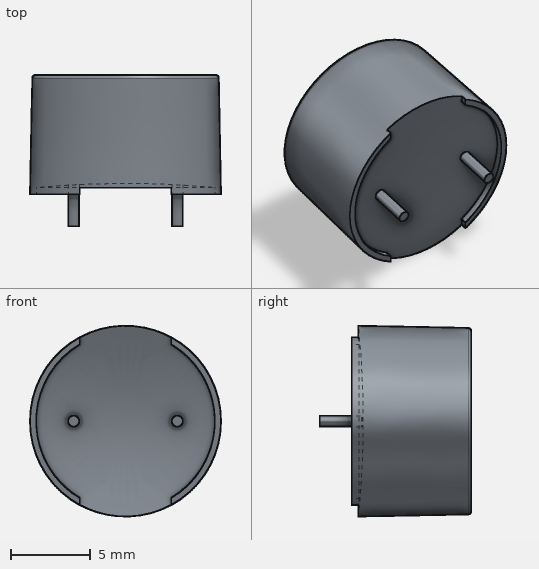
import cadquery as cq
import math

rim_radius = 6.0
back_radius = 5.85
body_length = 7.49
back_fillet = 0.2

recess_radius = 5.6
floor_edge_depth = 0.41
floor_dish = 0.3
floor_center_depth = floor_edge_depth + floor_dish
notch_width = 5.71

pin_radius = 0.35
pin_spacing = 6.5
pin_length = 2.0
pin_embed = 0.12


def make_body():
    """Slightly tapered drum, widest at the rim, with a rounded back edge."""
    profile = (
        cq.Workplane("XY")
        .lineTo(rim_radius, 0)
        .lineTo(back_radius, body_length)
        .lineTo(0, body_length)
        .close()
    )
    body = profile.revolve(360, (0, 0, 0), (0, 1, 0))
    return body.faces(">Y").edges().fillet(back_fillet)


def make_recess():
    """Dished space between the floor and Y = 0, limited to the round recess and the rim gaps."""
    sphere_radius = (rim_radius**2 + floor_dish**2) / (2 * floor_dish)
    mid_radius = rim_radius / 2
    mid_depth = floor_center_depth - sphere_radius + math.sqrt(sphere_radius**2 - mid_radius**2)
    dish = (
        cq.Workplane("XY")
        .lineTo(rim_radius, 0)
        .lineTo(rim_radius, floor_edge_depth)
        .threePointArc((mid_radius, mid_depth), (0, floor_center_depth))
        .close()
        .revolve(360, (0, 0, 0), (0, 1, 0))
    )
    floor_plane = cq.Workplane("XZ", origin=(0, floor_center_depth, 0))
    disc = floor_plane.circle(recess_radius).extrude(floor_center_depth)
    gap = floor_plane.rect(notch_width, 2 * rim_radius).extrude(floor_center_depth)
    return dish.intersect(disc.union(gap))


def make_pins():
    """Two pins rooted in the floor."""
    root_depth = floor_center_depth + pin_embed
    return (
        cq.Workplane("XZ", origin=(0, root_depth, 0))
        .pushPoints([(-pin_spacing / 2, 0), (pin_spacing / 2, 0)])
        .circle(pin_radius)
        .extrude(root_depth + pin_length)
    )


result = make_body().cut(make_recess()).union(make_pins())